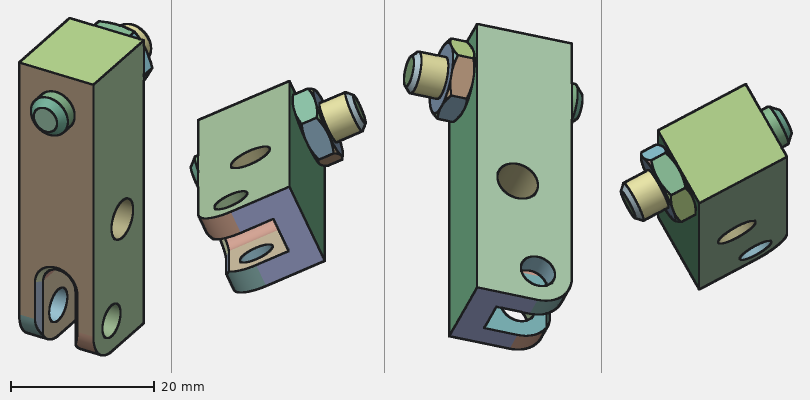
import cadquery as cq
import math

body_width = 12.0
body_depth = 14.0
body_height = 46.0
toe_radius = 5.0

slot_width = 5.2
slot_depth = 10.0
slot_arc_height = 11.0
slot_chamfer = 0.85
slot_overrun = 2.3

toe_hole = (toe_radius, toe_radius, 5.0)
upper_hole = (8.0, 20.0, 6.0)

pin_diameter = 6.0
pin_height = 40.0
pin_front_length = 3.0
pin_rear_length = 8.0
pin_front_chamfer = 1.1
pin_rear_chamfer = 0.85
nut_across_flats = 10.0
nut_thickness = 3.2
nut_chamfer_length = 0.45
nut_chamfer_inset = 0.75


def make_block():
    """Block with a rounded lower front edge."""
    block = cq.Workplane("XY").box(body_width, body_depth, body_height, centered=(True, False, False))
    return block.edges("<Y and <Z").fillet(toe_radius)


def slot_outline(plane, half_width):
    """Round-topped slot outline that runs out through the bottom of the block."""
    return (
        plane.moveTo(-half_width, -slot_overrun)
        .lineTo(-half_width, slot_arc_height)
        .threePointArc((0, slot_arc_height + half_width), (half_width, slot_arc_height))
        .lineTo(half_width, -slot_overrun)
        .close()
    )


def make_slot_cutter():
    """Blind slot together with the 45 degree chamfer around its mouth."""
    half_width = slot_width / 2
    slot = slot_outline(cq.Workplane("XZ"), half_width).extrude(-slot_depth)
    mouth = slot_outline(cq.Workplane("XZ"), half_width + slot_chamfer)
    return slot.union(mouth.extrude(-slot_chamfer, taper=45))


def make_cross_hole(distance, height, diameter):
    """Cutter for a hole through the whole width of the block."""
    plane = cq.Workplane("YZ").center(distance, height)
    return plane.circle(diameter / 2).extrude(body_width, both=True)


def make_pin():
    """Pin with a chamfer at each end."""
    length = pin_front_length + body_depth + pin_rear_length
    plane = cq.Workplane("XZ", origin=(0, -pin_front_length, pin_height))
    pin = plane.circle(pin_diameter / 2).extrude(-length)
    return pin.faces("<Y").chamfer(pin_front_chamfer).faces(">Y").chamfer(pin_rear_chamfer)


def make_nut():
    """Hexagonal nut with flats facing up and down and its corners turned off."""
    corner_diameter = nut_across_flats / math.cos(math.pi / 6)
    plane = cq.Workplane("XZ", origin=(0, body_depth, pin_height))
    hexagon = plane.polygon(6, corner_diameter).extrude(-nut_thickness)
    radius = corner_diameter / 2
    turned = (
        cq.Workplane("XY", origin=(0, body_depth, pin_height))
        .lineTo(radius - nut_chamfer_inset, 0)
        .lineTo(radius, nut_chamfer_length)
        .lineTo(radius, nut_thickness - nut_chamfer_length)
        .lineTo(radius - nut_chamfer_inset, nut_thickness)
        .lineTo(0, nut_thickness)
        .close()
        .revolve(360, (0, 0, 0), (0, 1, 0))
    )
    return hexagon.intersect(turned)


result = make_block().cut(make_slot_cutter())
for hole in (toe_hole, upper_hole):
    result = result.cut(make_cross_hole(*hole))
result = result.union(make_pin()).union(make_nut())